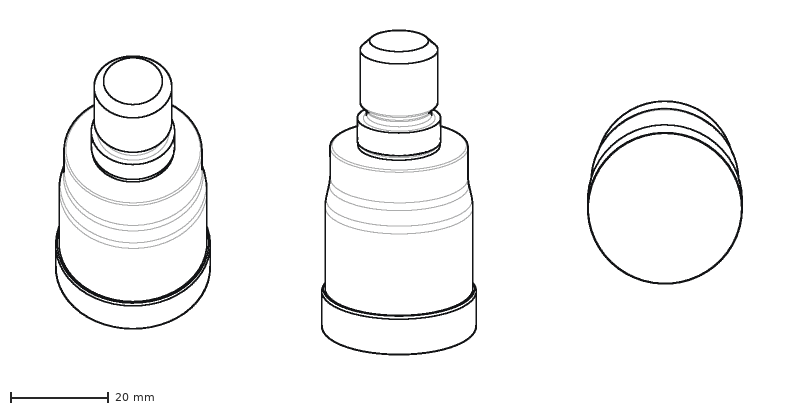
import cadquery as cq
import math

COLLAR_RADIUS = 15.9
COLLAR_HEIGHT = 8.45
COLLAR_CHAMFER_HEIGHT = 0.55
COLLAR_CHAMFER_WIDTH = 0.3
COLLAR_BOTTOM_CHAMFER = 0.1
BARREL_RADIUS = 15.2
SHOULDER_RADIUS = 14.2
HOUSING_HEIGHT = 40.0
HOUSING_TOP_ROUND = 0.4
TAPER_BOTTOM = 27.3
TAPER_TOP = 32.05
TAPER_BLEND_RADIUS = 8.0

TOTAL_HEIGHT = 63.0
FOOT_RADIUS = 8.0
FOOT_FLARE = 0.45
FOOT_FILLET = 0.25
FLANGE_RADIUS = 8.55
FLANGE_BOTTOM = 41.0
FLANGE_TOP = 46.05
NECK_RADIUS = 6.7
NECK_FILLET = 0.7
SHANK_RADIUS = 8.0
SHANK_BOTTOM = 49.4
UNDERCUT_BLEND_RADIUS = 0.5
TIP_CHAMFER = 1.95

NECK_TOP = SHANK_BOTTOM - (SHANK_RADIUS - NECK_RADIUS)
FLARE_MIDPOINT = FOOT_FLARE * math.sqrt(0.5)


def revolve_profile(profile):
    """Revolve a closed radius-height outline about the Z axis."""
    return profile.close().revolve(360, (0, 0, 0), (0, 1, 0))


def circle_edge(height, radius):
    """Select the circular edge of the given radius at the given height."""
    margin = 0.005
    reach = radius + margin
    return cq.selectors.BoxSelector(
        (-reach, -reach, height - margin),
        (reach, reach, height + margin),
        boundingbox=True,
    ) - cq.selectors.BoxSelector(
        (-radius + margin, -radius + margin, height - margin),
        (radius - margin, radius - margin, height + margin),
        boundingbox=True,
    )


def make_housing():
    """Stepped round housing with a blended taper and a wider collar at its base."""
    profile = (
        cq.Workplane("XZ")
        .lineTo(COLLAR_RADIUS, 0)
        .lineTo(COLLAR_RADIUS, COLLAR_HEIGHT - COLLAR_CHAMFER_HEIGHT)
        .lineTo(COLLAR_RADIUS - COLLAR_CHAMFER_WIDTH, COLLAR_HEIGHT)
        .lineTo(BARREL_RADIUS, COLLAR_HEIGHT)
        .lineTo(BARREL_RADIUS, TAPER_BOTTOM)
        .lineTo(SHOULDER_RADIUS, TAPER_TOP)
        .lineTo(SHOULDER_RADIUS, HOUSING_HEIGHT)
        .lineTo(0, HOUSING_HEIGHT)
    )
    housing = revolve_profile(profile)
    housing = housing.edges(circle_edge(TAPER_BOTTOM, BARREL_RADIUS)).fillet(TAPER_BLEND_RADIUS)
    housing = housing.edges(circle_edge(TAPER_TOP, SHOULDER_RADIUS)).fillet(TAPER_BLEND_RADIUS)
    housing = housing.faces("<Z").edges().chamfer(COLLAR_BOTTOM_CHAMFER)
    return housing.faces(">Z").edges().fillet(HOUSING_TOP_ROUND)


def make_stud():
    """Turned stud with a flange, an undercut neck and a chamfered shank."""
    flare_radius = FOOT_RADIUS + FOOT_FLARE
    flare_top = HOUSING_HEIGHT + FOOT_FLARE
    profile = (
        cq.Workplane("XZ")
        .moveTo(0, HOUSING_HEIGHT)
        .lineTo(flare_radius, HOUSING_HEIGHT)
        .threePointArc(
            (flare_radius - FLARE_MIDPOINT, flare_top - FLARE_MIDPOINT),
            (FOOT_RADIUS, flare_top),
        )
        .lineTo(FOOT_RADIUS, FLANGE_BOTTOM)
        .lineTo(FLANGE_RADIUS, FLANGE_BOTTOM)
        .lineTo(FLANGE_RADIUS, FLANGE_TOP)
        .lineTo(NECK_RADIUS, FLANGE_TOP)
        .lineTo(NECK_RADIUS, NECK_TOP)
        .lineTo(SHANK_RADIUS, SHANK_BOTTOM)
        .lineTo(SHANK_RADIUS, TOTAL_HEIGHT)
        .lineTo(0, TOTAL_HEIGHT)
    )
    stud = revolve_profile(profile)
    stud = stud.edges(circle_edge(FLANGE_TOP, NECK_RADIUS)).fillet(NECK_FILLET)
    stud = stud.edges(circle_edge(FLANGE_BOTTOM, FOOT_RADIUS)).fillet(FOOT_FILLET)
    stud = stud.edges(circle_edge(NECK_TOP, NECK_RADIUS)).fillet(UNDERCUT_BLEND_RADIUS)
    stud = stud.edges(circle_edge(SHANK_BOTTOM, SHANK_RADIUS)).fillet(UNDERCUT_BLEND_RADIUS)
    return stud.faces(">Z").edges().chamfer(TIP_CHAMFER)


housing = make_housing()
stud = make_stud()
result = cq.Compound.makeCompound([housing.val(), stud.val()])